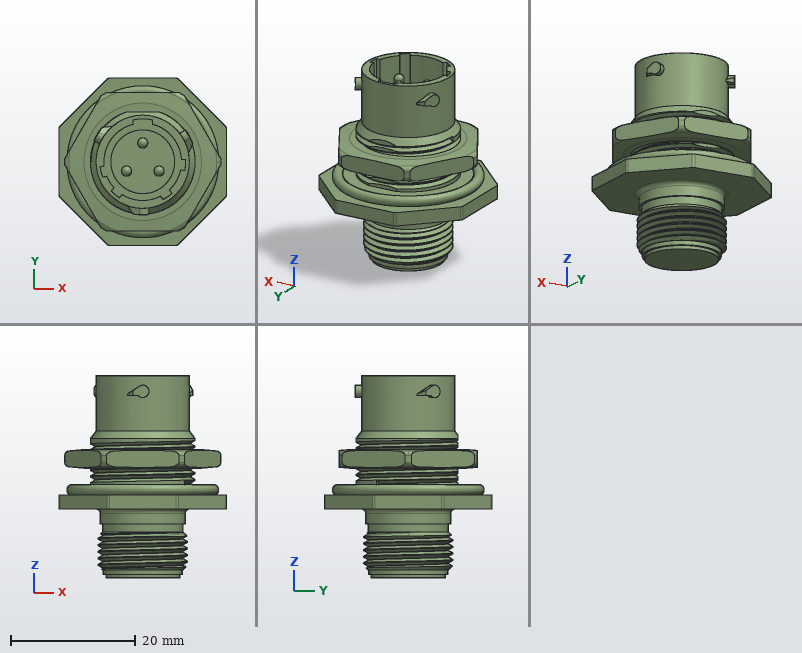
import cadquery as cq
import math

TOP_Z = 19.18
SHELL_RADIUS = 7.5
SHELL_BASE_Z = 10.29
PANEL_THREAD_TOP_Z = 9.05

PANEL_THREAD_RADIUS = 8.43
PANEL_THREAD_ROOT_RADIUS = 7.7
PANEL_THREAD_PITCH = 1.07
PANEL_GROOVE_TOP_Z = 8.82
PANEL_GROOVE_TOP_ANGLE = 180
PANEL_GROOVE_BOTTOM_ANGLE = -37
PANEL_GROOVE_WHOLE_TURNS = 6
KEYING_FLAT_Y = 8.02

FLANGE_ACROSS_FLATS = 26.97
FLANGE_THICKNESS = 2.3
FLANGE_CORNER_RADIUS = 0.65

ORING_OUTER_RADIUS = 12.23
ORING_HEIGHT = 1.65
ORING_SECTION_RADIUS = 0.86
ORING_CENTRE_RADIUS = ORING_OUTER_RADIUS - ORING_SECTION_RADIUS

ORING_STEP_BITE = 0.05
ORING_STEP_RADIUS = ORING_CENTRE_RADIUS - ORING_SECTION_RADIUS + ORING_STEP_BITE
ORING_STEP_HEIGHT = 1.26

NUT_ACROSS_FLATS = 22.25
NUT_CORNER_RADIUS = 12.57
NUT_BOTTOM_Z = 4.27
NUT_THICKNESS = 3.02
NUT_FACE_RADIUS = 9.46
NUT_FACE_DROP = 0.28
NUT_EDGE_ROUND = 0.75

COLLAR_RADIUS = 6.87
COLLAR_BOTTOM_Z = -4.67
COLLAR_FILLET = 0.7
NECK_RADIUS = 6.48
NECK_BOTTOM_Z = -5.98
TAIL_STEP_RADIUS = 6.37
TAIL_STEP_BOTTOM_Z = -12.81
END_RADIUS = 5.96
BOTTOM_Z = -13.37

TAIL_THREAD_RADIUS = 7.2
TAIL_THREAD_ROOT_RADIUS = 6.45
TAIL_THREAD_PITCH = 1.0583
TAIL_THREAD_BOTTOM_Z = -12.09
TAIL_GROOVE_ANGLE = 180
TAIL_GROOVE_Z = -7.58
TAIL_THREAD_CHAMFER = TAIL_THREAD_RADIUS - NECK_RADIUS

THREAD_CREST_WIDTH = 0.14
THREAD_ROOT_WIDTH = 0.08
GROOVE_OVERCUT = 0.05
OVERLAP = 0.3

CAVITY_RADIUS = 6.24
CAVITY_FLOOR_Z = PANEL_THREAD_TOP_Z
KEYWAY_RADIUS = 6.91
MAIN_KEYWAY_WIDTH = 3.2
MINOR_KEYWAY_WIDTH = 1.72
MAIN_KEYWAY_ANGLE = 90
MINOR_KEYWAY_ANGLES = (194, 230, 305.5, 355.5)
INSERT_RADIUS = 5.14
INSERT_HEIGHT = 0.4

PIN_CIRCLE_RADIUS = 3.02
PIN_RADIUS = 0.82
LONG_PIN_TIP_Z = 18.1
SHORT_PIN_TIP_Z = 17.3
PINS = ((90, LONG_PIN_TIP_Z), (210, SHORT_PIN_TIP_Z), (330, SHORT_PIN_TIP_Z))

LUG_ANGLES = (-90, 30, 150)
LUG_Z = 16.65
LUG_RADIUS = 1.0
LUG_OUTER_RADIUS = 8.56
LUG_TAIL_SLOPE = 33.7
LUG_TAIL_LENGTH = 2.45
LUG_TAIL_DROP = 0.7
LUG_RAMP_START = 1.57


def cylinder(radius, bottom_z, top_z):
    return cq.Workplane("XY").workplane(offset=bottom_z).circle(radius).extrude(top_z - bottom_z)


def polygon_prism(sides, across_flats, bottom_z, thickness):
    """Regular prism with one pair of flats facing -Y and +Y."""
    corner_diameter = across_flats / math.cos(math.pi / sides)
    turn = -90 + 180 / sides
    prism = cq.Workplane("XY").workplane(offset=bottom_z).polygon(sides, corner_diameter)
    return prism.extrude(thickness).rotate((0, 0, 0), (0, 0, 1), turn)


def thread_groove(crest_radius, root_radius, pitch, start_z, start_angle, turns):
    """Right-handed V groove that climbs from start_z, starting at start_angle."""
    helix = cq.Wire.makeHelix(pitch, pitch * turns, root_radius)
    half_crest = (pitch - THREAD_CREST_WIDTH) / 2
    half_root = THREAD_ROOT_WIDTH / 2
    flank_slope = (half_crest - half_root) / (crest_radius - root_radius)
    half_mouth = half_crest + GROOVE_OVERCUT * flank_slope
    mouth_radius = crest_radius + GROOVE_OVERCUT
    section = cq.Workplane("XZ").polyline([
        (root_radius, -half_root),
        (mouth_radius, -half_mouth),
        (mouth_radius, half_mouth),
        (root_radius, half_root),
    ]).close()
    groove = section.sweep(cq.Workplane(helix), isFrenet=True)
    return groove.rotate((0, 0, 0), (0, 0, 1), start_angle).translate((0, 0, start_z))


def panel_thread():
    """Threaded barrel with a coned shoulder on top and a flat along +Y."""
    barrel = cylinder(PANEL_THREAD_RADIUS, -FLANGE_THICKNESS / 2, PANEL_THREAD_TOP_Z)
    shoulder = (
        cq.Workplane("XZ")
        .polyline([
            (0, PANEL_THREAD_TOP_Z),
            (PANEL_THREAD_RADIUS, PANEL_THREAD_TOP_Z),
            (SHELL_RADIUS, SHELL_BASE_Z),
            (0, SHELL_BASE_Z),
        ])
        .close()
        .revolve(360, (0, 0), (0, 1))
    )
    part_turn = (PANEL_GROOVE_TOP_ANGLE - PANEL_GROOVE_BOTTOM_ANGLE) / 360
    turns = PANEL_GROOVE_WHOLE_TURNS + part_turn
    groove = thread_groove(
        PANEL_THREAD_RADIUS,
        PANEL_THREAD_ROOT_RADIUS,
        PANEL_THREAD_PITCH,
        PANEL_GROOVE_TOP_Z - turns * PANEL_THREAD_PITCH,
        PANEL_GROOVE_BOTTOM_ANGLE,
        turns,
    )
    beyond_flat = cq.Workplane("XY").box(
        2 * PANEL_THREAD_RADIUS, PANEL_THREAD_RADIUS, SHELL_BASE_Z, centered=(True, False, False)
    ).translate((0, KEYING_FLAT_Y, 0))
    return barrel.union(shoulder).cut(groove).cut(beyond_flat)


def flange():
    """Octagonal plate carrying the round step inside the O-ring."""
    plate = polygon_prism(8, FLANGE_ACROSS_FLATS, -FLANGE_THICKNESS, FLANGE_THICKNESS)
    plate = plate.edges("|Z").fillet(FLANGE_CORNER_RADIUS)
    return plate.union(cylinder(ORING_STEP_RADIUS, -FLANGE_THICKNESS / 2, ORING_STEP_HEIGHT))


def sealing_ring():
    """O-ring seated slightly into the flange face."""
    return (
        cq.Workplane("XZ")
        .moveTo(-ORING_CENTRE_RADIUS, ORING_HEIGHT - ORING_SECTION_RADIUS)
        .circle(ORING_SECTION_RADIUS)
        .revolve(360, (0, 0), (0, 1))
    )


def hex_nut():
    """Hexagon trimmed by a turned blank with coned faces and rounded rims."""
    top_z = NUT_BOTTOM_Z + NUT_THICKNESS
    blank = (
        cq.Workplane("XZ")
        .polyline([
            (0, NUT_BOTTOM_Z),
            (NUT_FACE_RADIUS, NUT_BOTTOM_Z),
            (NUT_CORNER_RADIUS, NUT_BOTTOM_Z + NUT_FACE_DROP),
            (NUT_CORNER_RADIUS, top_z - NUT_FACE_DROP),
            (NUT_FACE_RADIUS, top_z),
            (0, top_z),
        ])
        .close()
        .revolve(360, (0, 0), (0, 1))
    )
    rim = cq.selectors.RadiusNthSelector(-1)
    blank = blank.edges("%CIRCLE").edges(rim).fillet(NUT_EDGE_ROUND)
    nut = polygon_prism(6, NUT_ACROSS_FLATS, NUT_BOTTOM_Z, NUT_THICKNESS).intersect(blank)
    return nut.cut(cylinder(PANEL_THREAD_ROOT_RADIUS - OVERLAP, NUT_BOTTOM_Z, top_z))


def tail_thread():
    """Threaded sleeve chamfered at both ends; the groove runs out past each end."""
    thread = cylinder(TAIL_THREAD_RADIUS, TAIL_THREAD_BOTTOM_Z, NECK_BOTTOM_Z)
    thread = thread.edges("%CIRCLE").chamfer(TAIL_THREAD_CHAMFER)
    turns_below = math.ceil((TAIL_GROOVE_Z - TAIL_THREAD_BOTTOM_Z) / TAIL_THREAD_PITCH) + 1
    turns_above = math.ceil((NECK_BOTTOM_Z - TAIL_GROOVE_Z) / TAIL_THREAD_PITCH) + 1
    groove = thread_groove(
        TAIL_THREAD_RADIUS,
        TAIL_THREAD_ROOT_RADIUS,
        TAIL_THREAD_PITCH,
        TAIL_GROOVE_Z - turns_below * TAIL_THREAD_PITCH,
        TAIL_GROOVE_ANGLE,
        turns_below + turns_above,
    )
    return thread.cut(groove)


def tail():
    """Stepped cylinder below the flange, with a fillet into the flange face."""
    collar_top = -FLANGE_THICKNESS
    steps = (
        cq.Workplane("XZ")
        .moveTo(0, collar_top)
        .lineTo(COLLAR_RADIUS + COLLAR_FILLET, collar_top)
        .radiusArc((COLLAR_RADIUS, collar_top - COLLAR_FILLET), -COLLAR_FILLET)
        .lineTo(COLLAR_RADIUS, COLLAR_BOTTOM_Z)
        .lineTo(NECK_RADIUS, COLLAR_BOTTOM_Z)
        .lineTo(NECK_RADIUS, NECK_BOTTOM_Z)
        .lineTo(TAIL_STEP_RADIUS, NECK_BOTTOM_Z)
        .lineTo(TAIL_STEP_RADIUS, TAIL_STEP_BOTTOM_Z)
        .lineTo(END_RADIUS, TAIL_STEP_BOTTOM_Z)
        .lineTo(END_RADIUS, BOTTOM_Z)
        .lineTo(0, BOTTOM_Z)
        .close()
        .revolve(360, (0, 0), (0, 1))
    )
    return steps.union(tail_thread())


def keyway(angle, width):
    """Radial bar with a round outer end, to widen the cavity."""
    depth = TOP_Z - CAVITY_FLOOR_Z
    length = KEYWAY_RADIUS + OVERLAP
    bar = cq.Workplane("XY").box(length, width, depth, centered=(False, True, False))
    bar = bar.rotate((0, 0, 0), (0, 0, 1), angle).translate((0, 0, CAVITY_FLOOR_Z))
    return bar.intersect(cylinder(KEYWAY_RADIUS, CAVITY_FLOOR_Z, TOP_Z))


def cavity():
    """Space to remove from the shell: round bore plus its keyways."""
    space = cylinder(CAVITY_RADIUS, CAVITY_FLOOR_Z, TOP_Z)
    space = space.union(keyway(MAIN_KEYWAY_ANGLE, MAIN_KEYWAY_WIDTH))
    for angle in MINOR_KEYWAY_ANGLES:
        space = space.union(keyway(angle, MINOR_KEYWAY_WIDTH))
    return space


def pin(angle, tip_z):
    """Contact pin with a domed tip."""
    x = PIN_CIRCLE_RADIUS * math.cos(math.radians(angle))
    y = PIN_CIRCLE_RADIUS * math.sin(math.radians(angle))
    dome_z = tip_z - PIN_RADIUS
    post = cylinder(PIN_RADIUS, CAVITY_FLOOR_Z, dome_z)
    dome = cq.Workplane("XY").sphere(PIN_RADIUS).translate((0, 0, dome_z))
    return post.union(dome).translate((x, y, 0))


def bayonet_lug(angle):
    """Round lug with a tapered tail that ramps down to the shell."""
    slope = math.radians(LUG_TAIL_SLOPE)
    tangent_x = -LUG_RADIUS * math.sin(slope)
    tangent_z = LUG_RADIUS * math.cos(slope)
    tail_end_z = tangent_z - (LUG_TAIL_LENGTH + tangent_x) * math.tan(slope)
    inner_radius = SHELL_RADIUS - OVERLAP
    front = cq.Workplane("XZ", origin=(0, 0, LUG_Z))
    boss = front.circle(LUG_RADIUS).extrude(LUG_OUTER_RADIUS)
    ramp_tail = (
        front.polyline([
            (tangent_x, tangent_z),
            (-LUG_TAIL_LENGTH, tail_end_z),
            (-LUG_TAIL_LENGTH, -LUG_TAIL_DROP),
            (0, -LUG_TAIL_DROP),
            (0, 0),
        ])
        .close()
        .extrude(LUG_OUTER_RADIUS)
    )
    shell_y = -math.sqrt(SHELL_RADIUS ** 2 - LUG_TAIL_LENGTH ** 2)
    crest_y = -math.sqrt(LUG_OUTER_RADIUS ** 2 - LUG_RAMP_START ** 2)
    run = LUG_TAIL_LENGTH - LUG_RAMP_START
    beyond_ramp = (
        cq.Workplane("XY").workplane(offset=LUG_Z - 2 * LUG_RADIUS)
        .polyline([
            (-LUG_TAIL_LENGTH, shell_y),
            (-LUG_RAMP_START, crest_y),
            (run - LUG_RAMP_START, 2 * crest_y - shell_y),
            (-LUG_TAIL_LENGTH, 2 * crest_y - shell_y),
        ])
        .close()
        .extrude(4 * LUG_RADIUS)
    )
    reach = cylinder(LUG_OUTER_RADIUS, LUG_Z - 2 * LUG_RADIUS, LUG_Z + 2 * LUG_RADIUS)
    reach = reach.cut(cylinder(inner_radius, LUG_Z - 2 * LUG_RADIUS, LUG_Z + 2 * LUG_RADIUS))
    lug = boss.union(ramp_tail).cut(beyond_ramp).intersect(reach)
    return lug.rotate((0, 0, 0), (0, 0, 1), angle + 90)


body = panel_thread().union(cylinder(SHELL_RADIUS, SHELL_BASE_Z, TOP_Z))
body = body.union(hex_nut()).union(flange()).union(sealing_ring()).union(tail())
for lug_angle in LUG_ANGLES:
    body = body.union(bayonet_lug(lug_angle))
body = body.cut(cavity())
body = body.union(cylinder(INSERT_RADIUS, CAVITY_FLOOR_Z, CAVITY_FLOOR_Z + INSERT_HEIGHT))
for pin_angle, pin_tip_z in PINS:
    body = body.union(pin(pin_angle, pin_tip_z))

result = body